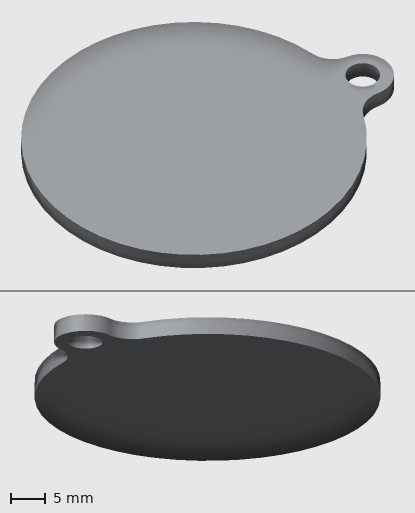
import cadquery as cq
import math

total_length = 57.4
disc_diameter = 49.95
thickness = 2.6

eyelet_diameter = 9.0
eyelet_hole_diameter = 5.0

disc_radius = disc_diameter / 2
eyelet_radius = eyelet_diameter / 2

eyelet_y = total_length - disc_radius - eyelet_radius

neck_fillet_radius = (eyelet_y**2 + eyelet_radius**2 - disc_radius**2) / (2 * (disc_radius - eyelet_radius))
fillet_x = eyelet_radius + neck_fillet_radius
fillet_angle = math.atan2(eyelet_y, fillet_x)


def make_tag():
    """Round flat tag with a filleted eyelet and its through hole."""
    disc_x = disc_radius * math.cos(fillet_angle)
    disc_y = disc_radius * math.sin(fillet_angle)
    mid_angle = math.pi + fillet_angle / 2
    mid_x = fillet_x + neck_fillet_radius * math.cos(mid_angle)
    mid_y = eyelet_y + neck_fillet_radius * math.sin(mid_angle)

    outline = (
        cq.Workplane("XY")
        .moveTo(disc_x, disc_y)
        .threePointArc((mid_x, mid_y), (eyelet_radius, eyelet_y))
        .threePointArc((0, eyelet_y + eyelet_radius), (-eyelet_radius, eyelet_y))
        .threePointArc((-mid_x, mid_y), (-disc_x, disc_y))
        .threePointArc((0, -disc_radius), (disc_x, disc_y))
        .close()
    )
    hole = cq.Workplane("XY").center(0, eyelet_y).circle(eyelet_hole_diameter / 2).extrude(thickness)
    return outline.extrude(thickness).cut(hole)


tag = make_tag()
result = cq.Compound.makeCompound([tag.val()])